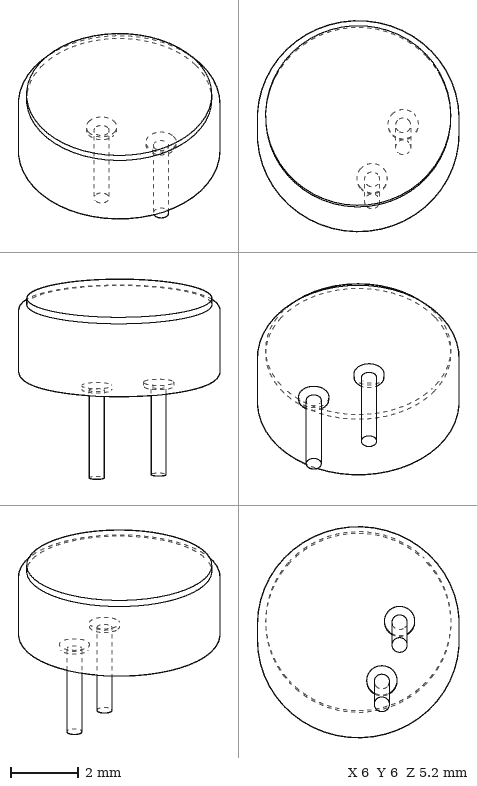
import cadquery as cq

HOUSING_DIAMETER = 6.0
HOUSING_HEIGHT = 2.2
HOUSING_EDGE_RADIUS = 0.2

COVER_DIAMETER = 5.5
COVER_THICKNESS = 0.2

PIN_DIAMETER = 0.45
PIN_REACH = 2.8
PIN_SPACING = 1.895
PIN_ROW_Y = 1.0

COLLAR_DIAMETER = 0.9
COLLAR_THICKNESS = 0.14
COLLAR_EDGE_RADIUS = 0.05


def make_housing():
    """Round housing with both rims rounded."""
    return (
        cq.Workplane("XY")
        .circle(HOUSING_DIAMETER / 2)
        .extrude(HOUSING_HEIGHT)
        .edges("%CIRCLE")
        .fillet(HOUSING_EDGE_RADIUS)
    )


def make_cover():
    """Flat disc resting on top of the housing."""
    return (
        cq.Workplane("XY")
        .workplane(offset=HOUSING_HEIGHT)
        .circle(COVER_DIAMETER / 2)
        .extrude(COVER_THICKNESS)
    )


def make_pin(x, y):
    """Contact pin with a collar that sits against the housing bottom."""
    collar = (
        cq.Workplane("XY")
        .center(x, y)
        .circle(COLLAR_DIAMETER / 2)
        .extrude(-COLLAR_THICKNESS)
        .faces("<Z")
        .edges()
        .fillet(COLLAR_EDGE_RADIUS)
    )
    shaft = cq.Workplane("XY").center(x, y).circle(PIN_DIAMETER / 2).extrude(-PIN_REACH)
    return collar.union(shaft).solids()


housing = make_housing()
cover = make_cover()
pins = [make_pin(side * PIN_SPACING / 2, PIN_ROW_Y) for side in (-1, 1)]

result = cq.Compound.makeCompound(
    [housing.val(), cover.val(), *[pin.val() for pin in pins]]
)